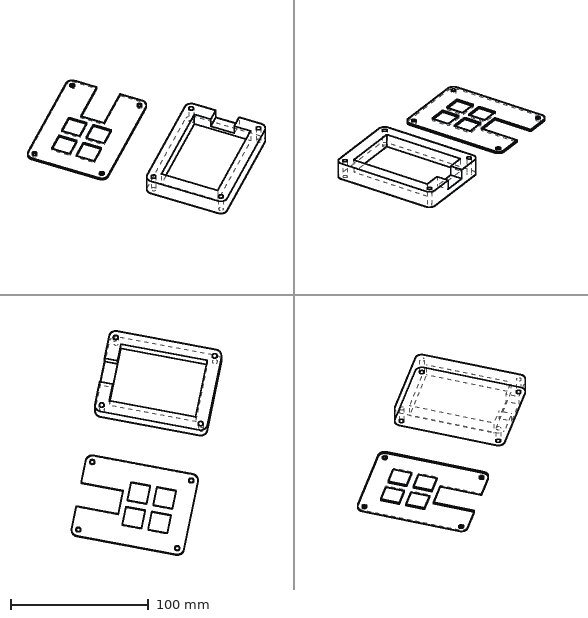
import cadquery as cq

width = 62.5
length = 83.0
corner_radius = 5.0
screw_hole_diameter = 3.4
screw_inset = corner_radius
notch_width = 18.2

overall_x = 155.2
case_x = overall_x - width
case_y = 1.0

plate_thickness = 1.5
plate_notch_length = 31.0
window_size = 14.1
window_pitch = 19.1
window_corner_radius = 0.5
window_group_from_front = 30.9

case_height = 13.0
floor_thickness = 3.0
pocket_width = 43.9
pocket_length = 63.8
case_notch_depth = 7.5


def make_blank(height):
    """Rounded rectangular slab with a through hole at each corner."""
    return (
        cq.Workplane("XY")
        .box(width, length, height, centered=(True, True, False))
        .edges("|Z")
        .fillet(corner_radius)
        .faces(">Z")
        .workplane()
        .rect(width - 2 * screw_inset, length - 2 * screw_inset, forConstruction=True)
        .vertices()
        .hole(screw_hole_diameter)
    )


def make_back_notch(notch_length, bottom_z, notch_height):
    """Block that opens the back (+Y) edge over the notch width."""
    return (
        cq.Workplane("XY", origin=(0, length / 2 - notch_length, bottom_z))
        .box(notch_width, notch_length, notch_height, centered=(True, False, False))
    )


def make_windows():
    """Two by two grid of square key openings with slightly rounded corners."""
    group_y = window_group_from_front - length / 2
    return (
        cq.Workplane("XY", origin=(0, group_y, 0))
        .rarray(window_pitch, window_pitch, 2, 2)
        .rect(window_size, window_size)
        .extrude(plate_thickness)
        .edges("|Z")
        .fillet(window_corner_radius)
    )


def make_plate():
    """Thin cover with a long notch at the back and four key windows."""
    notch = make_back_notch(plate_notch_length, 0, plate_thickness)
    return make_blank(plate_thickness).cut(notch).cut(make_windows())


def make_case():
    """Open tray with a notch in the upper part of its back wall."""
    pocket = (
        cq.Workplane("XY", origin=(0, 0, floor_thickness))
        .box(pocket_width, pocket_length, case_height - floor_thickness, centered=(True, True, False))
    )
    wall_thickness = (length - pocket_length) / 2
    notch = make_back_notch(wall_thickness, case_height - case_notch_depth, case_notch_depth)
    return make_blank(case_height).cut(pocket).cut(notch)


plate = make_plate()
case = make_case().translate((case_x, case_y, 0))

result = cq.Compound.makeCompound([plate.val(), case.val()])